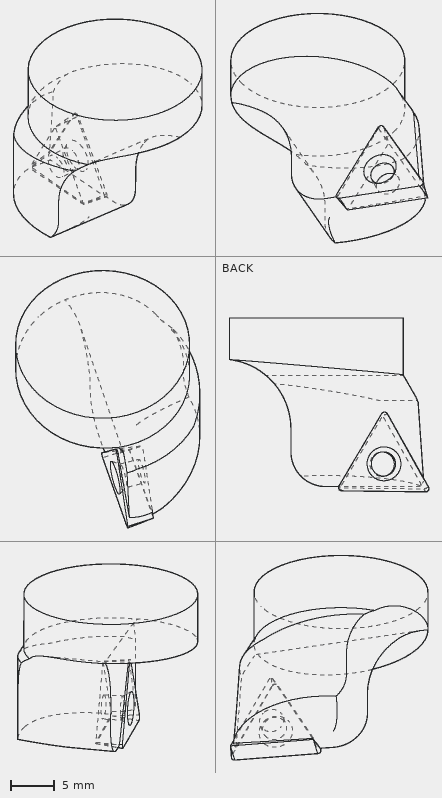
import cadquery as cq
import math

total_height = 20.0
shank_diameter = 20.0
shank_radius = shank_diameter / 2
margin = 4.58

flare_top_z = 13.37
flare_bottom_z = 10.49
flare_angle = 30.0
body_cone_angle = 4.0

trim_radius = 11.72
trim_center = (-1.0, 0.8)

body_bottom_z = 0.62
wall_x = 2.95
heel_radius = 4.0
neck_radius = 8.0
ceiling_axis_z = 14.34
ceiling_angle = 5.0

relief_angle = 9.0
relief_start_y = -2.86

bevel_angle = 22.0
bevel_x = -11.59
bevel_height = 2.75

flute_axis_y = 0.53
flute_angle = 3.9
flute_lean = 0.6
flute_radius = 1.0

insert_edge = 11.0
insert_thickness = 3.18
insert_clearance = 7.0
insert_nose_radius = 0.4
insert_corner = (-13.2, 0.0, 0.0)
insert_turn = 3.8
insert_lean = 0.8
insert_roll = 0.7
screw_hole_diameter = 2.8
screw_seat_diameter = 3.9
screw_seat_angle = 60.0


def tan(degrees):
    return math.tan(math.radians(degrees))


def ceiling_z(x):
    """Height of the sloped shank underside at a given x."""
    return ceiling_axis_z + x * tan(ceiling_angle)


def make_blank():
    """Shank, flare and lower cone, turned about Z, then trimmed by the offset cylinder."""
    flare_radius = shank_radius + (flare_top_z - flare_bottom_z) * tan(flare_angle)
    base_radius = flare_radius + flare_bottom_z * tan(body_cone_angle)
    turned = (
        cq.Workplane("XZ")
        .moveTo(0, 0)
        .lineTo(base_radius, 0)
        .lineTo(flare_radius, flare_bottom_z)
        .lineTo(shank_radius, flare_top_z)
        .lineTo(shank_radius, total_height)
        .lineTo(0, total_height)
        .close()
        .revolve(360, (0, 0, 0), (0, 1, 0))
    )
    trim = cq.Workplane("XY").center(*trim_center).circle(trim_radius).extrude(total_height)
    return turned.intersect(trim)


def make_side_profile():
    """Outline in XZ with the heel round and the neck round, spanning the whole depth in Y."""
    reach = trim_radius + margin
    heel_x = wall_x - heel_radius
    heel_z = body_bottom_z + heel_radius
    heel_reach = heel_radius * math.cos(math.radians(45))
    heel_mid = (heel_x + heel_reach, heel_z - heel_reach)

    slope = math.radians(ceiling_angle)
    neck_x = wall_x + neck_radius
    neck_z = ceiling_z(neck_x) - neck_radius / math.cos(slope)
    neck_mid_angle = (math.pi + math.pi / 2 + slope) / 2
    neck_mid = (
        neck_x + neck_radius * math.cos(neck_mid_angle),
        neck_z + neck_radius * math.sin(neck_mid_angle),
    )
    neck_end = (neck_x - neck_radius * math.sin(slope), neck_z + neck_radius * math.cos(slope))

    return (
        cq.Workplane("XZ")
        .moveTo(-reach, body_bottom_z)
        .lineTo(heel_x, body_bottom_z)
        .threePointArc(heel_mid, (wall_x, heel_z))
        .lineTo(wall_x, neck_z)
        .threePointArc(neck_mid, neck_end)
        .lineTo(reach, ceiling_z(reach))
        .lineTo(reach, total_height)
        .lineTo(-reach, total_height)
        .close()
        .extrude(reach, both=True)
    )


def make_flute():
    """Tool for the flute: a floor facing +Y and a sloped ceiling, joined by a round."""
    start_x = -trim_radius - margin
    start_z = ceiling_z(start_x)
    start_y = flute_axis_y + start_x * tan(flute_angle) + start_z * tan(flute_lean)
    along = cq.Vector(1, tan(flute_angle), tan(ceiling_angle))
    across = cq.Vector(-tan(flute_angle), 1, 0)
    plane = cq.Plane(origin=(start_x, start_y, start_z), xDir=across, normal=along)
    width = shank_radius + margin
    depth = total_height
    corner_point = (0, flute_axis_y + ceiling_axis_z * tan(flute_lean), ceiling_axis_z)
    return (
        cq.Workplane(plane)
        .polyline([(0, 0), (width, 0), (width, -depth), (-depth * tan(flute_lean), -depth)])
        .close()
        .extrude(2 * trim_radius + 2 * margin)
        .edges(cq.selectors.NearestToPointSelector(corner_point))
        .fillet(flute_radius)
    )


def make_relief():
    """Wedge that slopes the bottom upward toward -Y."""
    reach = trim_radius + margin
    end_y = -reach
    end_z = body_bottom_z + (relief_start_y - end_y) * tan(relief_angle)
    return (
        cq.Workplane("YZ")
        .polyline([(relief_start_y, body_bottom_z), (end_y, end_z), (end_y, body_bottom_z)])
        .close()
        .extrude(reach, both=True)
    )


def make_edge_bevel():
    """Flat that clips the outermost part of the flare edge on the -X side."""
    half_height = bevel_height / 2
    shift = half_height * tan(bevel_angle)
    return (
        cq.Workplane("XZ")
        .polyline([
            (bevel_x + shift, flare_bottom_z + half_height),
            (bevel_x - shift, flare_bottom_z - half_height),
            (bevel_x - shift, flare_bottom_z + half_height),
        ])
        .close()
        .extrude(margin, both=True)
    )


def make_insert():
    """Triangular insert with clearance flanks, rounded corners and a countersunk screw hole.

    Returns the plate without its hole, used to form the pocket, and the finished insert.
    """
    inward = cq.Vector(tan(insert_turn), -1, -tan(insert_lean))
    edge = cq.Vector(1, tan(insert_turn), tan(insert_roll))
    rake = cq.Plane(origin=insert_corner, xDir=edge, normal=inward)
    height = insert_edge * math.sqrt(3) / 2
    center = (insert_edge / 2, height / 3)
    seat_depth = (screw_seat_diameter - screw_hole_diameter) / 2 / tan(screw_seat_angle / 2)

    outline = (
        cq.Sketch()
        .polygon([(0, 0), (insert_edge, 0), (insert_edge / 2, height), (0, 0)])
        .vertices()
        .fillet(insert_nose_radius)
    )
    plate = cq.Workplane(rake).placeSketch(outline).extrude(insert_thickness, taper=insert_clearance)

    hole = cq.Workplane(rake).center(*center).circle(screw_hole_diameter / 2).extrude(insert_thickness)
    seat = (
        cq.Workplane(rake)
        .center(*center)
        .circle(screw_seat_diameter / 2)
        .extrude(seat_depth, taper=screw_seat_angle / 2)
    )
    return plate, plate.cut(hole).cut(seat)


def make_holder(insert_envelope):
    """Boring head with a pocket that matches the insert."""
    holder = make_blank().intersect(make_side_profile())
    holder = holder.cut(make_relief()).cut(make_edge_bevel()).cut(make_flute())
    return holder.cut(insert_envelope)


insert_envelope, insert = make_insert()
holder = make_holder(insert_envelope)

result = cq.Compound.makeCompound([holder.val(), insert.val()])